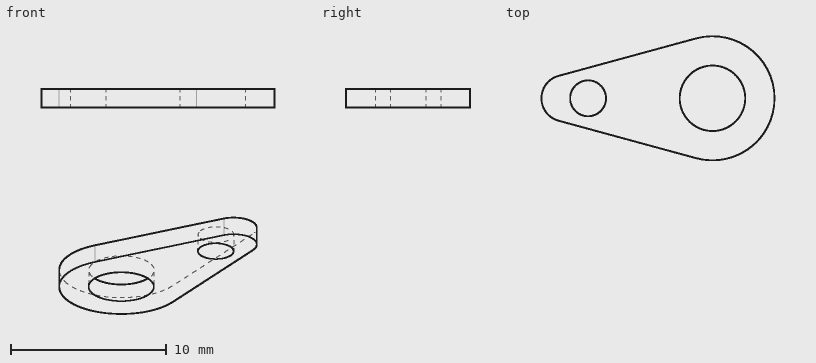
import cadquery as cq
import math

length = 15.0
width = 8.0
thickness = 1.2
small_end_radius = 1.5
large_hole_diameter = 4.2
small_hole_diameter = 2.3
hole_spacing = 8.0

large_end_radius = width / 2
end_spacing = length - large_end_radius - small_end_radius
small_end_x = -end_spacing

flank_angle = math.asin((large_end_radius - small_end_radius) / end_spacing)


def tangent_point(center_x, radius):
    """Point on the upper side where a flank touches an end arc."""
    return (center_x - radius * math.sin(flank_angle), radius * math.cos(flank_angle))


def mirrored(point):
    """Reflect a point across the X axis."""
    return (point[0], -point[1])


large_tangent = tangent_point(0, large_end_radius)
small_tangent = tangent_point(small_end_x, small_end_radius)

plate = (
    cq.Workplane("XY")
    .moveTo(*small_tangent)
    .lineTo(*large_tangent)
    .threePointArc((large_end_radius, 0), mirrored(large_tangent))
    .lineTo(*mirrored(small_tangent))
    .threePointArc((small_end_x - small_end_radius, 0), small_tangent)
    .close()
    .extrude(thickness)
)


def through_hole(center_x, diameter):
    """Cylinder that cuts through the full plate thickness."""
    return cq.Workplane("XY").center(center_x, 0).circle(diameter / 2).extrude(thickness)


large_hole = through_hole(0, large_hole_diameter)
small_hole = through_hole(-hole_spacing, small_hole_diameter)
result = plate.cut(large_hole).cut(small_hole)